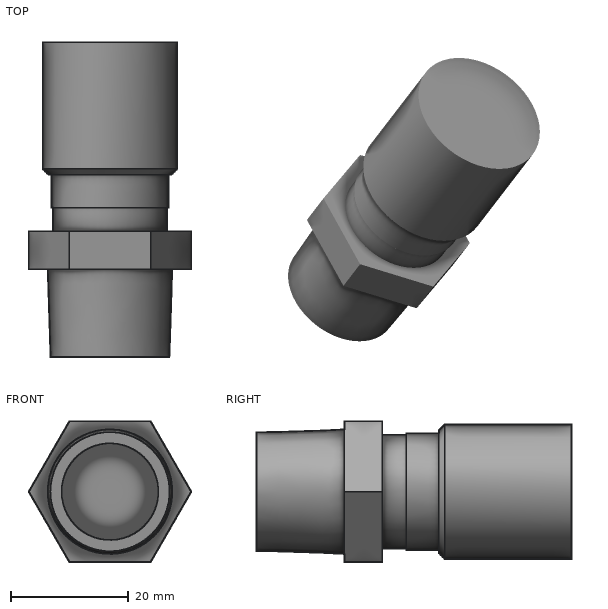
import cadquery as cq
import math

total_length = 53.75
tip_y = -total_length / 2

taper_length = 15.0
hex_length = 6.5
neck_length = 4.05
collar_length = 5.6

taper_tip_diameter = 20.3
taper_base_diameter = 21.3
hex_across_flats = 24.0
neck_diameter = 19.5
collar_diameter = 20.0
sleeve_diameter = 23.0
sleeve_chamfer = 1.0

bore_diameter = 16.5
bore_depth = taper_length + hex_length

hex_start_y = tip_y + taper_length
neck_start_y = hex_start_y + hex_length
collar_start_y = neck_start_y + neck_length
sleeve_start_y = collar_start_y + collar_length
sleeve_end_y = tip_y + total_length


def section_plane(y):
    """Plane across the axis at y, facing +Y, with its local x along -X."""
    return cq.Plane(origin=(0, y, 0), xDir=(-1, 0, 0), normal=(0, 1, 0))


def round_section(start_y, end_y, diameter):
    return cq.Workplane(section_plane(start_y)).circle(diameter / 2).extrude(end_y - start_y)


def tapered_end():
    return (
        cq.Workplane(section_plane(tip_y))
        .circle(taper_tip_diameter / 2)
        .workplane(offset=taper_length)
        .circle(taper_base_diameter / 2)
        .loft(ruled=True)
    )


def hex_nut():
    """Hexagon with corners on the X axis and flats on top and bottom."""
    across_corners = hex_across_flats / math.cos(math.pi / 6)
    return cq.Workplane(section_plane(hex_start_y)).polygon(6, across_corners).extrude(hex_length)


def sleeve():
    body = round_section(sleeve_start_y, sleeve_end_y, sleeve_diameter)
    return body.faces("<Y").edges().chamfer(sleeve_chamfer)


body = (
    tapered_end()
    .union(hex_nut())
    .union(round_section(neck_start_y, collar_start_y, neck_diameter))
    .union(round_section(collar_start_y, sleeve_start_y, collar_diameter))
    .union(sleeve())
)
result = body.cut(round_section(tip_y, tip_y + bore_depth, bore_diameter))